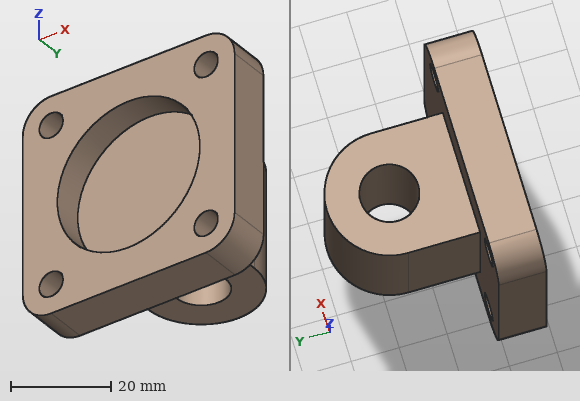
import cadquery as cq

flange_side = 52.0
flange_thickness = 10.0
bolt_spacing = 38.0
bolt_hole_diameter = 5.8
corner_radius = (flange_side - bolt_spacing) / 2

recess_diameter = 35.0
recess_depth = 7.0

total_depth = 38.0
lug_width = 26.0
lug_height = 28.0
pin_hole_diameter = 12.0
lug_radius = lug_width / 2
pin_y = total_depth - lug_radius


def along_y(start_y):
    """Sketch plane across Y, centred on the flange axis."""
    return cq.Workplane("XZ", origin=(0, start_y, 0))


def make_flange():
    plate = along_y(0).rect(flange_side, flange_side).extrude(-flange_thickness)
    plate = plate.edges("|Y").fillet(corner_radius)
    bolt_holes = (
        along_y(0)
        .rect(bolt_spacing, bolt_spacing, forConstruction=True)
        .vertices()
        .circle(bolt_hole_diameter / 2)
        .extrude(-flange_thickness)
    )
    recess = along_y(0).circle(recess_diameter / 2).extrude(-recess_depth)
    return plate.cut(bolt_holes).cut(recess)


def make_lug():
    outline = (
        cq.Workplane("XY", origin=(0, 0, -lug_height / 2))
        .moveTo(-lug_radius, flange_thickness)
        .lineTo(-lug_radius, pin_y)
        .threePointArc((0, total_depth), (lug_radius, pin_y))
        .lineTo(lug_radius, flange_thickness)
        .close()
    )
    pin_hole = (
        cq.Workplane("XY", origin=(0, pin_y, -lug_height / 2))
        .circle(pin_hole_diameter / 2)
        .extrude(lug_height)
    )
    return outline.extrude(lug_height).cut(pin_hole)


result = make_flange().union(make_lug())